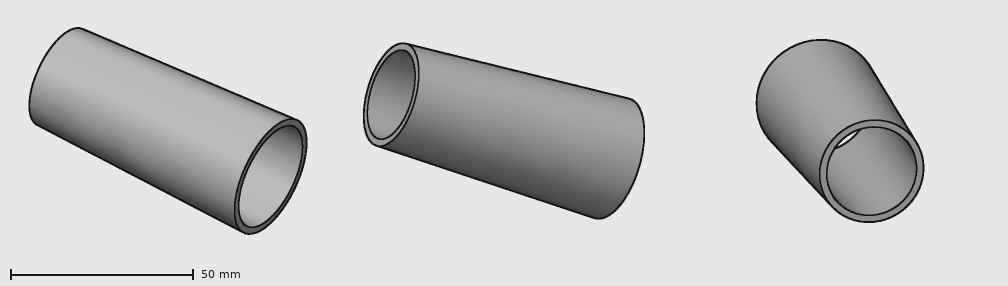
import cadquery as cq

length = 70.6
narrow_outer_diameter = 29.1
wide_outer_diameter = 34.1
wall = 2.0

narrow_outer_radius = narrow_outer_diameter / 2
wide_outer_radius = wide_outer_diameter / 2

wall_section = (
    cq.Workplane("XY")
    .moveTo(0, narrow_outer_radius - wall)
    .lineTo(0, narrow_outer_radius)
    .lineTo(length, wide_outer_radius)
    .lineTo(length, wide_outer_radius - wall)
    .close()
)

result = wall_section.revolve(360, (0, 0, 0), (1, 0, 0))